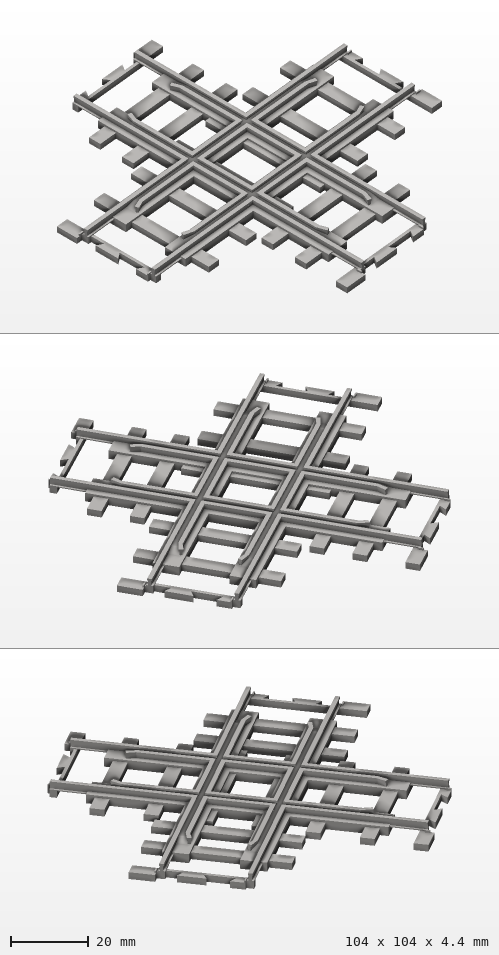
import cadquery as cq
import math

reach = 52.0

tie_top = 2.0
foot_top = 2.3
base_top = 2.6
groove_floor = 3.2
head_bottom = 3.7
rail_top = 4.4

rail_offset = 11.8
rail_end = 50.0
head_width = 1.2
web_width = 0.8
foot_width = 2.0
foot_inner = rail_offset - foot_width / 2
foot_outer = rail_offset + foot_width / 2

flange_gap = 1.6
check_offset = rail_offset - head_width - flange_gap
flare_start = 31.8
flare_length = 2.9
flare_angle = math.radians(20)

ramp_start = 31.8
ramp_end = 34.9

base_inner = 6.8
base_outer = 13.9
base_end = 40.0

tie_half_length = 20.0
tie_width = 4.0
outer_tie = 35.8
tie_pitch = 14.4
tie_gap_along_x = 11.5
ties_along_y = [outer_tie - i * tie_pitch for i in range(3)]
ties_along_x = [outer_tie - i * tie_gap_along_x for i in range(2)]

end_tie_side = 13.0
end_bar_inner = reach - tie_width
end_bar_outer = 49.0
tooth_tip = 51.0
tooth_offset = 3.5
tooth_tip_width = 7.9
tooth_root_width = 5.4
socket_mouth_width = 6.0
socket_root_width = 8.5
lug_width = 0.4
lug_start = 49.4


def block(x_range, y_range, z_range):
    """Box spanning the given coordinate ranges."""
    (x0, x1), (y0, y1), (z0, z1) = x_range, y_range, z_range
    return cq.Workplane("XY").box(x1 - x0, y1 - y0, z1 - z0, centered=False).translate((x0, y0, z0))


def strip(centre, width, half_length, z0, z1):
    """Straight bar along Y, centred on the X axis."""
    x_range = (centre - width / 2, centre + width / 2)
    return block(x_range, (-half_length, half_length), (z0, z1))


def prism(points, z0, z1):
    """Plan outline extruded between two heights."""
    return cq.Workplane("XY").workplane(offset=z0).polyline(points).close().extrude(z1 - z0)


def mirrored(points):
    """Open outline in the +Y half, completed by its mirror image in the -Y half."""
    return points + [(x, -y) for x, y in reversed(points)]


def turned(body, quarter_turns):
    return body.rotate((0, 0, 0), (0, 0, 1), 90 * quarter_turns)


def four_turns(body):
    return [turned(body, quarter) for quarter in range(4)]


def union_all(parts):
    body = parts[0]
    for part in parts[1:]:
        body = body.union(part)
    return body


def check_rail_line(shift):
    """Bend and tip points of a line that runs parallel to the check rail, shifted outwards."""
    bend_y = flare_start - shift * math.tan(flare_angle / 2)
    tip_x = check_offset - flare_length * math.sin(flare_angle) + shift * math.cos(flare_angle)
    tip_y = flare_start + flare_length * math.cos(flare_angle) + shift * math.sin(flare_angle)
    return [(check_offset + shift, bend_y), (tip_x, tip_y)]


def check_rail(width, z0, z1):
    """One layer of the check rail."""
    outer_bend, outer_tip = check_rail_line(width / 2)
    inner_bend, inner_tip = check_rail_line(-width / 2)
    outline = [outer_bend, outer_tip, inner_tip, inner_bend]
    return prism(mirrored(outline), z0, z1)


def groove_fill():
    """Raised floor between running rail and check rail, ramping down at both ends."""
    bend, tip = check_rail_line(0)
    plan = prism(mirrored([(rail_offset, ramp_end), (tip[0], ramp_end), tip, bend]), base_top, groove_floor)
    side_profile = [
        (-ramp_end, base_top),
        (-ramp_start, groove_floor),
        (ramp_start, groove_floor),
        (ramp_end, base_top),
    ]
    ramps = cq.Workplane("YZ").polyline(side_profile).close().extrude(rail_offset)
    return plan.intersect(ramps)


def rail_side():
    """Base strip, running rail, check rail and groove floor on the +X side of the Y track."""
    return union_all([
        strip((base_inner + base_outer) / 2, base_outer - base_inner, base_end, 0, base_top),
        strip(rail_offset, foot_width, rail_end, tie_top, foot_top),
        strip(rail_offset, web_width, rail_end, foot_top, head_bottom),
        strip(rail_offset, head_width, rail_end, head_bottom, rail_top),
        check_rail(web_width, base_top, head_bottom),
        check_rail(head_width, head_bottom, rail_top),
        groove_fill(),
    ])


def wheel_groove():
    """Clearance that carries the +X flange groove through the rails it crosses."""
    centre = (rail_offset + check_offset) / 2
    half_length = rail_offset + head_width
    web_gap = rail_offset - check_offset - web_width
    lower = strip(centre, web_gap, half_length, groove_floor, head_bottom)
    upper = strip(centre, flange_gap, half_length, head_bottom, rail_top)
    return lower.union(upper)


def sleeper(y):
    """Cross tie parallel to X."""
    x_range = (-tie_half_length, tie_half_length)
    return block(x_range, (y - tie_width / 2, y + tie_width / 2), (0, tie_top))


def dovetail_tooth():
    """Full tooth on the +Y arm, wider at its tip."""
    half_root = tooth_root_width / 2
    half_tip = tooth_tip_width / 2
    outline = [
        (tooth_offset - half_root, end_bar_outer),
        (tooth_offset - half_tip, tooth_tip),
        (tooth_offset + half_tip, tooth_tip),
        (tooth_offset + half_root, end_bar_outer),
    ]
    return prism(outline, 0, tie_top)


def half_tooth():
    """Tooth on the far side of the socket, straight along the rail foot."""
    outline = [
        (-foot_inner, end_bar_outer),
        (-foot_inner, tooth_tip),
        (-tooth_offset - socket_mouth_width / 2, tooth_tip),
        (-tooth_offset - socket_root_width / 2, end_bar_outer),
    ]
    return prism(outline, 0, tie_top)


def arm_end():
    """Coupling at the tip of the +Y arm."""
    body_z = (0, tie_top)
    bar_y = (end_bar_inner, end_bar_outer)
    post_y = (end_bar_inner, rail_end)
    lug_y = (lug_start, tooth_tip)
    lug_z = (0, base_top)
    return union_all([
        block((-foot_outer, tie_half_length), bar_y, body_z),
        block((end_tie_side, tie_half_length), (end_bar_inner, reach), body_z),
        dovetail_tooth(),
        half_tooth(),
        block((-foot_outer, -foot_inner), post_y, body_z),
        block((foot_inner, end_tie_side), post_y, body_z),
        block((-foot_inner, -foot_inner + lug_width), lug_y, lug_z),
        block((end_tie_side, end_tie_side + lug_width), lug_y, lug_z),
    ])


result = union_all(four_turns(rail_side()))
for groove in four_turns(wheel_groove()):
    result = result.cut(groove)

sleepers = []
for sign in (-1, 1):
    sleepers += [sleeper(sign * y) for y in ties_along_y]
    sleepers += [turned(sleeper(sign * x), 1) for x in ties_along_x]

result = union_all([result] + sleepers + four_turns(arm_end()))